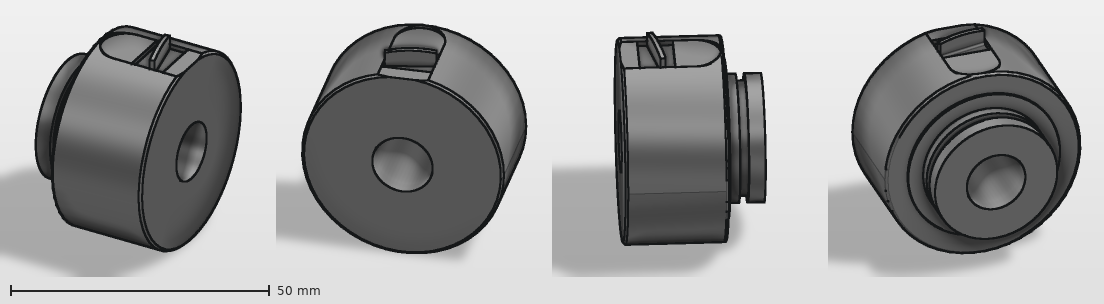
import cadquery as cq

BODY_RADIUS = 20.0
BODY_LENGTH = 20.0
EDGE_SIZE = 0.5
COLLAR_RADIUS = 15.53
COLLAR_LENGTH = 0.5
SPIGOT_RADIUS = 12.5
SPIGOT_LENGTH = 7.0
GROOVE_RADIUS = 11.17
GROOVE_WIDTH = 1.7
GROOVE_OFFSET = 3.2
BORE_RADIUS = 6.0

FLAT_WIDTH = 10.0
FLAT_START = 0.5
FLAT_HEIGHT = 19.35

POCKET_START = 9.55
POCKET_END = 16.45
POCKET_DEPTH = 1.0
KEY_TOP_RADIUS = 21.85
KEY_THICKNESS = 1.0
KEY_ANGLE = 12
KEY_CENTER_X = 12.97
KEY_LENGTH = FLAT_WIDTH
ROOT_FILLET = 0.5

collar_face = -COLLAR_LENGTH
spigot_end = collar_face - SPIGOT_LENGTH
half_width = FLAT_WIDTH / 2
pocket_floor = FLAT_HEIGHT - POCKET_DEPTH


def cylinder(radius, start, length):
    """Solid cylinder along X."""
    return cq.Workplane("YZ", origin=(start, 0, 0)).circle(radius).extrude(length)


def turned_body():
    drum = cylinder(BODY_RADIUS, 0, BODY_LENGTH)
    drum = drum.faces("<X").edges().fillet(EDGE_SIZE)
    drum = drum.faces(">X").edges().chamfer(EDGE_SIZE)
    collar = cylinder(COLLAR_RADIUS, collar_face, COLLAR_LENGTH)
    spigot = cylinder(SPIGOT_RADIUS, spigot_end, SPIGOT_LENGTH)
    groove_start = spigot_end + GROOVE_OFFSET
    groove = cylinder(SPIGOT_RADIUS, groove_start, GROOVE_WIDTH).cut(
        cylinder(GROOVE_RADIUS, groove_start, GROOVE_WIDTH)
    )
    bore = cylinder(BORE_RADIUS, spigot_end, BODY_LENGTH - spigot_end)
    return drum.union(collar).union(spigot).cut(groove).cut(bore)


def flat_cutter():
    arc_end = FLAT_START + half_width
    return (
        cq.Workplane("XY", origin=(0, 0, FLAT_HEIGHT))
        .moveTo(BODY_LENGTH, half_width)
        .lineTo(arc_end, half_width)
        .threePointArc((FLAT_START, 0), (arc_end, -half_width))
        .lineTo(BODY_LENGTH, -half_width)
        .close()
        .extrude(BODY_RADIUS - FLAT_HEIGHT)
    )


def pocket_cutter():
    """Block spanning the width of the flat."""
    return (
        cq.Workplane("XY")
        .box(POCKET_END - POCKET_START, FLAT_WIDTH, POCKET_DEPTH, centered=(False, True, False))
        .translate((POCKET_START, 0, pocket_floor))
    )


def slanted_key():
    """Key with a filleted root, square to its own length and turned about Z."""
    half_thickness = KEY_THICKNESS / 2
    key = (
        cq.Workplane("XZ", origin=(0, KEY_LENGTH / 2, 0))
        .moveTo(half_thickness, pocket_floor)
        .lineTo(half_thickness, KEY_TOP_RADIUS)
        .lineTo(-half_thickness, KEY_TOP_RADIUS)
        .lineTo(-half_thickness, pocket_floor + ROOT_FILLET)
        .radiusArc((-half_thickness - ROOT_FILLET, pocket_floor), ROOT_FILLET)
        .close()
        .extrude(KEY_LENGTH)
        .rotate((0, 0, 0), (0, 0, 1), KEY_ANGLE)
        .translate((KEY_CENTER_X, 0, 0))
    )
    return key.intersect(cylinder(KEY_TOP_RADIUS, 0, BODY_LENGTH))


result = turned_body().cut(flat_cutter()).cut(pocket_cutter()).union(slanted_key())